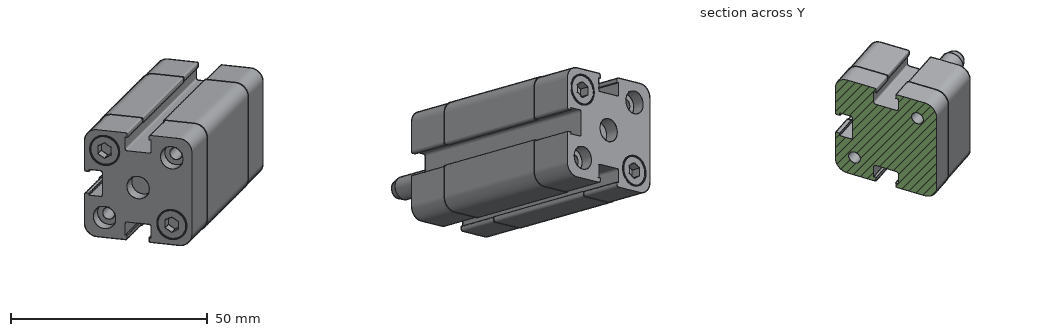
import cadquery as cq
import math


total_length = 78.5
body_length = 58.1
barrel_size = 29.05
cap_size = 28.8
cap_length = 12.3
corner_center = 11.0

slot_floor = 9.6
slot_half_width = 3.45
slot_root_radius = 0.5
lip_underside = 13.15
cap_lip_half_gap = 2.92
cap_lip_radius = 0.5
barrel_lip_half_gap = 2.72
barrel_lip_radius = 0.45
slot_overshoot = 2.0
slot_angles = (0, 90, 180)

bolt_offset = 9.0
through_hole_diameter = 3.24
mount_bore_diameter = 6.0
mount_bore_depth = 3.5
screw_bore_diameter = 8.0
screw_head_diameter = 7.5
screw_gap_depth = 0.3
hex_across_corners = 4.13
hex_depth = 2.8
hex_turn = 30

center_bore_diameter = 6.0
center_bore_depth = 4.0

rod_radius = 3.0
neck_radius = 2.2
tip_radius = 2.3
tip_length = 2.1
thread_length = 13.3
neck_end_from_tip = 15.85
collar_chamfer_length = 0.55
collar_chamfer_depth = 0.25
thread_runout = 0.65
flat_half_width = 2.5
flat_length = 3.6


def square_bar(size, length, y_start):
    """Square bar along +Y with rounded corners centred on the common corner axes."""
    bar = cq.Workplane("XZ", origin=(0, y_start, 0)).rect(size, size).extrude(-length)
    return bar.edges("|Y").fillet(size / 2 - corner_center)


def cylinder(radius, length, x, z):
    """Round bar along +Y from the end face."""
    return cq.Workplane("XZ", origin=(x, 0, z)).circle(radius).extrude(-length)


def slot_cutter(size, length, y_start, lip_half_gap, lip_radius):
    """T-shaped slot space opening toward +Z, with its mouth rounded into the outer face."""
    face = size / 2
    cutter_top = face + slot_overshoot
    flank = lip_half_gap + lip_radius
    arc_inset = lip_radius * (1 - math.sqrt(0.5))
    root_space = (
        cq.Workplane("XZ", origin=(0, y_start, 0))
        .center(0, (slot_floor + lip_underside) / 2)
        .rect(2 * slot_half_width, lip_underside - slot_floor)
        .extrude(-length)
        .edges("|Y and <Z")
        .fillet(slot_root_radius)
    )
    mouth = (
        cq.Workplane("XZ", origin=(0, y_start, 0))
        .moveTo(-lip_half_gap, slot_floor + slot_root_radius)
        .lineTo(-lip_half_gap, face - lip_radius)
        .threePointArc((-lip_half_gap - arc_inset, face - arc_inset), (-flank, face))
        .lineTo(-flank, cutter_top)
        .lineTo(flank, cutter_top)
        .lineTo(flank, face)
        .threePointArc((lip_half_gap + arc_inset, face - arc_inset), (lip_half_gap, face - lip_radius))
        .lineTo(lip_half_gap, slot_floor + slot_root_radius)
        .close()
        .extrude(-length)
    )
    return root_space.union(mouth)


def slotted_section(size, length, y_start, lip_half_gap, lip_radius):
    """Body section with a slot in the top, bottom and -X sides."""
    section = square_bar(size, length, y_start)
    cutter = slot_cutter(size, length, y_start, lip_half_gap, lip_radius)
    for angle in slot_angles:
        section = section.cut(cutter.rotate((0, 0, 0), (0, 1, 0), -angle))
    return section


def make_body():
    """Barrel between two slightly smaller end caps."""
    barrel_length = body_length - 2 * cap_length
    body = slotted_section(barrel_size, barrel_length, cap_length, barrel_lip_half_gap, barrel_lip_radius)
    for y_start in (0.0, body_length - cap_length):
        body = body.union(slotted_section(cap_size, cap_length, y_start, cap_lip_half_gap, cap_lip_radius))
    return body


def cut_mounting_hole(body, x, z):
    """Hole through the whole body, counterbored from the end face."""
    body = body.cut(cylinder(through_hole_diameter / 2, body_length, x, z))
    return body.cut(cylinder(mount_bore_diameter / 2, mount_bore_depth, x, z))


def cut_screw_head(body, x, z):
    """Flush socket screw: a narrow ring gap around the head and a hexagon socket."""
    ring = cylinder(screw_bore_diameter / 2, screw_gap_depth, x, z)
    ring = ring.cut(cylinder(screw_head_diameter / 2, screw_gap_depth, x, z))
    socket = (
        cq.Workplane("XZ")
        .polygon(6, hex_across_corners)
        .extrude(-hex_depth)
        .rotate((0, 0, 0), (0, 1, 0), hex_turn)
        .translate((x, 0, z))
    )
    return body.cut(ring).cut(socket)


def make_rod():
    """Piston rod with threaded end, undercut neck and collar with two wrench flats."""
    thread_start = total_length - thread_length
    neck_start = total_length - neck_end_from_tip
    profile = [
        (0, body_length),
        (rod_radius, body_length),
        (rod_radius, neck_start - collar_chamfer_length),
        (rod_radius - collar_chamfer_depth, neck_start),
        (neck_radius, neck_start),
        (neck_radius, thread_start - thread_runout),
        (rod_radius, thread_start),
        (rod_radius, total_length - tip_length),
        (tip_radius, total_length),
        (0, total_length),
    ]
    rod = cq.Workplane("XY").polyline(profile).close().revolve(360, (0, 0, 0), (0, 1, 0))
    flat_depth = rod_radius - flat_half_width
    flat_start = neck_start - flat_length
    flat = (
        cq.Workplane("XY", origin=(0, 0, -rod_radius))
        .moveTo(flat_half_width, neck_start)
        .lineTo(flat_half_width, flat_start)
        .lineTo(rod_radius, flat_start - flat_depth)
        .lineTo(rod_radius, neck_start)
        .close()
        .extrude(2 * rod_radius)
    )
    return rod.cut(flat).cut(flat.mirror("YZ"))


body = make_body()
for side in (-1, 1):
    body = cut_mounting_hole(body, side * bolt_offset, side * bolt_offset)
    body = cut_screw_head(body, side * bolt_offset, -side * bolt_offset)
body = body.cut(cylinder(center_bore_diameter / 2, center_bore_depth, 0, 0))

result = body.union(make_rod())